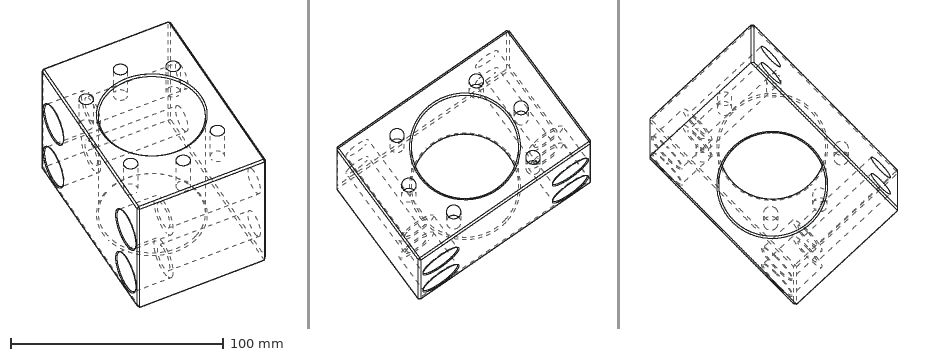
import cadquery as cq
import math

length = 100.0
width = 68.0
height = 70.0
edge_chamfer = 1.0

bore_diameter = 50.5
bore_chamfer = 0.9
bore_setback = 33.0
bore_y = bore_setback - width / 2

flange_radius = 32.5
flange_angles = (0, 45, 135, 180, 225, 315)
flange_hole_diameter = 6.8
flange_hole_depth = 18.0
drill_point_angle = 118.0

mount_spacing_x = 75.0
mount_heights = (13.0, 43.0)
mount_hole_diameter = 13.0
counterbore_diameter = 20.0
counterbore_depth = 20.0
counterbore_chamfer = 0.5


def is_among(edge, edges):
    return any(edge.isSame(other) for other in edges.vals())


def make_block():
    block = cq.Workplane("XY").box(length, width, height, centered=(True, True, False))
    sharp_edges = block.faces("<Z").edges("|Y")
    return block.edges().filter(lambda edge: not is_among(edge, sharp_edges)).chamfer(edge_chamfer)


def cone_between(start, direction, start_radius, end_radius, depth):
    return cq.Workplane(cq.Solid.makeCone(start_radius, end_radius, depth, start, direction))


def cut_bore(body):
    radius = bore_diameter / 2
    bore = cq.Workplane("XY").center(0, bore_y).circle(radius).extrude(height)
    body = body.cut(bore)
    for z, direction in ((height, -1), (0, 1)):
        mouth = cone_between(
            cq.Vector(0, bore_y, z),
            cq.Vector(0, 0, direction),
            radius + bore_chamfer,
            radius,
            bore_chamfer,
        )
        body = body.cut(mouth)
    return body


def cut_flange_holes(body):
    radius = flange_hole_diameter / 2
    point_depth = radius / math.tan(math.radians(drill_point_angle / 2))
    down = cq.Vector(0, 0, -1)
    for angle in flange_angles:
        x = flange_radius * math.cos(math.radians(angle))
        y = bore_y + flange_radius * math.sin(math.radians(angle))
        shaft = cq.Solid.makeCylinder(radius, flange_hole_depth, cq.Vector(x, y, height), down)
        shaft_end = cq.Vector(x, y, height - flange_hole_depth)
        point = cone_between(shaft_end, down, radius, 0, point_depth)
        body = body.cut(cq.Workplane(shaft)).cut(point)
    return body


def cut_mounting_holes(body):
    front_y = -width / 2
    inward = cq.Vector(0, 1, 0)
    radius = counterbore_diameter / 2
    for x in (-mount_spacing_x / 2, mount_spacing_x / 2):
        for z in mount_heights:
            start = cq.Vector(x, front_y, z)
            hole = cq.Solid.makeCylinder(mount_hole_diameter / 2, width, start, inward)
            counterbore = cq.Solid.makeCylinder(radius, counterbore_depth, start, inward)
            mouth = cone_between(start, inward, radius + counterbore_chamfer, radius, counterbore_chamfer)
            body = body.cut(cq.Workplane(hole)).cut(cq.Workplane(counterbore)).cut(mouth)
    return body


result = cut_mounting_holes(cut_flange_holes(cut_bore(make_block())))